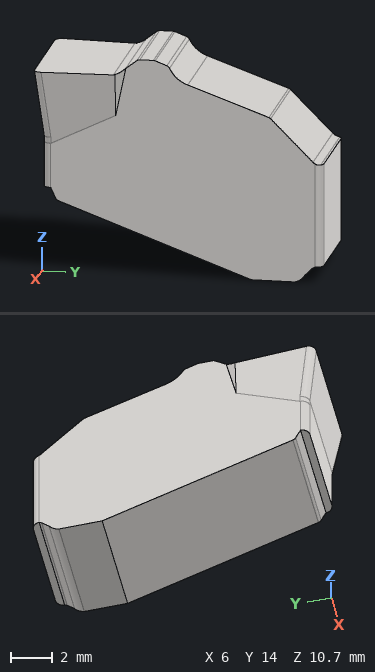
import cadquery as cq
import math

length = 14.0
height = 10.65
body_half_width = 2.6
corner_radius = 0.38
ridge_radius = 0.24

head_top = 9.9
front_y = 0.4
relief_top = 6.61
step_z = 4.07
front_foot = (1.06, 3.47)
head_overhang = 1.4
floor_end_y = 3.88
floor_blend = (4.44, 10.19)
floor_blend_mid = (4.19, 10.01)

flank_rear = (3.95, 7.83)
flank_front = (0.84, 6.3)
flare_angle = 6.0
flare_slope = math.tan(math.radians(flare_angle))
flank_reach = 2 * length

search_margin = 0.01

crest_front = (5.04, height)
crest_rear = (5.82, height)
crest_shoulder = (6.52, 10.39)
hollow_mid = (6.86, 9.88)
hollow_end = (7.45, 9.52)
top_ridge = (11.44, 8.09)
rear_top = 5.85
rear_bottom = 0.78
rear_flat_y = length - corner_radius
rear_slope_foot = (13.68, rear_top)
rear_blend_radius = 0.5
heel_slope_top = (13.5, 0.71)
heel_slope_bottom = (13.13, 0.35)
heel_mid = (12.92, 0.13)
heel_end_y = 12.65
bottom_end_y = 10.53


def side_profile():
    """Closed outline in the YZ plane, starting at the cutting edge."""
    return (
        cq.Workplane("YZ")
        .moveTo(0, head_top)
        .lineTo(front_y, relief_top)
        .lineTo(front_y, step_z)
        .lineTo(front_y + corner_radius, step_z)
        .lineTo(*front_foot)
        .lineTo(bottom_end_y, 0)
        .lineTo(heel_end_y, 0)
        .threePointArc(heel_mid, heel_slope_bottom)
        .lineTo(*heel_slope_top)
        .lineTo(rear_flat_y, rear_bottom)
        .lineTo(length, rear_bottom)
        .lineTo(length, rear_top)
        .lineTo(*rear_slope_foot)
        .lineTo(*top_ridge)
        .lineTo(*hollow_end)
        .threePointArc(hollow_mid, crest_shoulder)
        .lineTo(*crest_rear)
        .lineTo(*crest_front)
        .lineTo(*floor_blend)
        .threePointArc(floor_blend_mid, (floor_end_y, head_top))
        .close()
    )


def edge_at(part, point):
    """Crosswise edge passing through a (Y, Z) point."""
    y, z = point
    low = (-search_margin, y - search_margin, z - search_margin)
    high = (search_margin, y + search_margin, z + search_margin)
    return part.edges(cq.selectors.BoxSelector(low, high))


def round_front_corners(part):
    """Round the side edges of the front nose, leaving its crosswise edges sharp."""
    low = (-flank_reach, -search_margin, step_z - search_margin)
    high = (flank_reach, front_y + search_margin, head_top + search_margin)
    nose_edges = part.edges(cq.selectors.BoxSelector(low, high))
    return nose_edges.edges("not #Z").edges("not |X").fillet(corner_radius)


def make_body():
    body = side_profile().extrude(body_half_width, both=True)
    for ridge in (top_ridge, crest_shoulder, crest_rear, crest_front, front_foot):
        body = edge_at(body, ridge).fillet(ridge_radius)
    body = edge_at(body, rear_slope_foot).fillet(rear_blend_radius)
    body = body.faces(">Y").edges("|Z").fillet(corner_radius)
    return round_front_corners(body)


def outside_block(origin, normal, in_plane):
    """Large block lying on the outer side of an oblique plane."""
    plane = cq.Plane(origin=origin, xDir=in_plane, normal=normal)
    return cq.Workplane(plane).rect(flank_reach, flank_reach).extrude(flank_reach / 2)


def make_head():
    head = (
        cq.Workplane("YZ")
        .moveTo(0, head_top)
        .lineTo(front_y, relief_top)
        .lineTo(front_y, step_z)
        .lineTo(floor_blend[0], step_z)
        .lineTo(*floor_blend)
        .threePointArc(floor_blend_mid, (floor_end_y, head_top))
        .close()
        .extrude(body_half_width + head_overhang, both=True)
    )
    root_y = flank_rear[0] - flank_front[0]
    root_z = flank_rear[1] - flank_front[1]
    taper = flare_slope * root_z / root_y
    flare_at_floor = flare_slope * (head_top - flank_rear[1])
    for side in (-1, 1):
        root = (side * body_half_width, *flank_rear)
        along_root = (0, root_y, root_z)
        head = head.cut(outside_block(root, (side, taper, -flare_slope), along_root))

        up_body = cq.Vector(0, floor_blend[0] - flank_rear[0], floor_blend[1] - flank_rear[1])
        up_flank = cq.Vector(side * flare_at_floor, 0, head_top - flank_rear[1])
        rear_normal = up_flank.cross(up_body) * side
        if rear_normal.y < 0:
            rear_normal = rear_normal * -1
        head = head.cut(outside_block(root, rear_normal.toTuple(), up_body.toTuple()))

    return round_front_corners(head)


result = make_body().union(make_head())